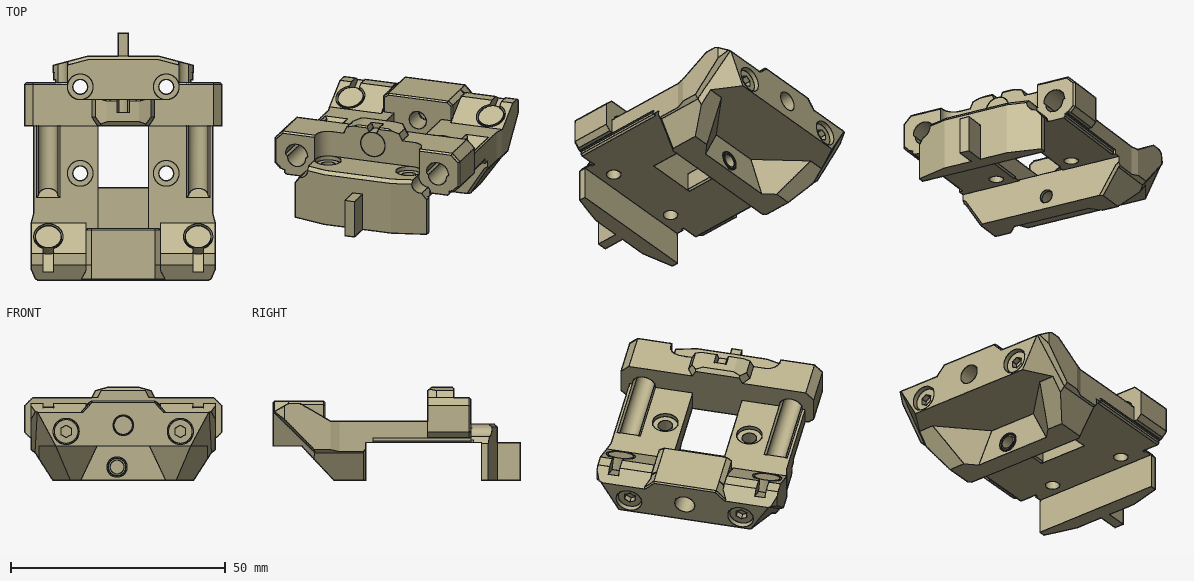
import cadquery as cq
import math

magnet_dia = 6.0
magnet_thickness = 3.0
magnet_pocket_dia = 6.1
pocket_mouth_dia = 6.85
head_dia = 5.5
head_height = 3.0
head_bore_dia = 6.1
head_recess = 1.0
shank_dia = 3.0
shank_length = 5.75
socket_width = 2.9
socket_depth = 1.5
screw_x = 13.3
screw_z = 11.4
insert_dia = 4.7
insert_collar_dia = 4.0
insert_bore_dia = 3.2
insert_length = 4.0
insert_collar_length = 0.5
insert_teeth = 16
insert_tooth_gap = 0.45
insert_x = -1.45
insert_z = 3.1

deck_half_width = 20.9
deck_top = 13.8
deck_bottom = 8.8
window_half_width = 5.85
window_front = 21.55
window_foot_edge = 0.4
shelf_top = 9.0
mount_x = 10.0
mount_front_y = 24.9
mount_rear_y = 45.0
mount_hole_dia = 3.4
mount_head_dia = 6.0
mount_head_depth = 1.0

notch_front = 23.25
notch_rear = 46.0
notch_depth = 0.45
notch_foot_depth = 0.85
notch_lip = 9.2
notch_top = 9.85

front_half_width = 21.45
wing_back = 13.35
taper_back = 15.45
wing_inner = 8.6
wing_crest = 17.9
wing_crest_front = 3.55
wing_angle = 30.0
front_face_bottom = 8.0
underside_front = 6.6
leg_toe = 14.15
leg_half_width = 16.4
leg_back_edge = 0.6
leg_flare_x = 20.45
leg_flare_z = 6.4
leg_side_z = 7.15
corner_top_x = 19.9
corner_bottom_x = 15.7
corner_back_x = 19.55
corner_trim = 1.15
corner_trim_run = 2.6
ledge_x = 20.25
ledge_top = 16.9
ledge_inner_top = 16.15
ledge_back = 9.3
ledge_back_z = 7.4
duct_toe_x = 12.3
duct_back_bottom_x = 9.9
duct_back_top_x = 6.1
duct_back = 16.7

badge_half_top = 7.4
badge_top = 18.45
badge_shoulder = 17.6
badge_back = 12.1
badge_foot_x = 9.9
badge_edge = 0.35
front_hole_z = 12.8
front_hole_dia = 4.8
front_hole_inner_dia = 4.25
front_hole_step = 5.75

wing_magnet_x = 17.4
wing_magnet_y = 10.2
pry_slot_width = 2.4

trough_x = 17.5
trough_width = 5.5
trough_edge = 0.5
trough_front = 19.3
trough_end_run = 2.05

bar_half_width = 22.95
bar_front = 35.95
bar_back = 46.0
bar_top = 19.25
bar_bottom = 10.0
bar_top_chamfer = 1.9
bar_bottom_chamfer = 1.2
bar_back_edge = 0.4
recess_floor = 13.15
recess_corner_radius = 2.95

crown_half_base = 7.3
crown_half_shoulder = 6.5
crown_half_top = 3.7
crown_shoulder = 20.9
crown_top = 21.7
crown_front_run = 1.0
crown_back_edge = 0.35
crown_corner_x = 1.3
crown_corner_y = 2.05
rear_magnet_z = 17.4
slot_top_width = 2.95
slot_bottom_width = 1.95

nose_half_width = 16.35
nose_neck_half_width = 15.75
nose_ledge_front = 46.65
nose_wall_front = 48.4
nose_corner_y = 50.0
nose_flat_half_width = 8.35
nose_back = 52.15
nose_ledge_top = 10.2
nose_edge = 0.8
nose_cove_x = 15.2
nose_cove_end = 8.6
nose_cove_bulge = 0.25
tab_half_width = 1.2
tab_back = 57.5

slope = math.tan(math.radians(wing_angle))
wing_crest_back = wing_back - (wing_crest - deck_top) / slope
front_face_top = wing_crest - wing_crest_front * slope
wing_magnet_z = deck_top + (wing_back - wing_magnet_y) * slope
recess_front = mount_rear_y - mount_head_dia / 2
recess_half_width = mount_x + mount_head_dia / 2


def box(x0, x1, y0, y1, z0, z1):
    return cq.Workplane("XY").box(x1 - x0, y1 - y0, z1 - z0, centered=False).translate((x0, y0, z0))


def along_x(points, x0, x1):
    """Extrude a (y, z) outline from x0 to x1."""
    return cq.Workplane("YZ").polyline(points).close().extrude(x1 - x0).translate((x0, 0, 0))


def along_y(points, y0, y1):
    """Extrude an (x, z) outline from y0 to y1."""
    return cq.Workplane("XZ").polyline(points).close().extrude(y0 - y1).translate((0, y0, 0))


def along_z(points, z0, z1):
    """Extrude an (x, y) outline from z0 to z1."""
    return cq.Workplane("XY").polyline(points).close().extrude(z1 - z0).translate((0, 0, z0))


def mirrored(half):
    """Close a half outline, listed on the +X side, with its mirror image."""
    return half + [(-x, v) for x, v in reversed(half)]


def rod(dia, x, z, y0, y1):
    """Round bar along Y."""
    return cq.Workplane("XZ").center(x, z).circle(dia / 2).extrude(y0 - y1).translate((0, y0, 0))


def both_sides(half):
    return half.union(half.mirror("YZ"))


def half_space(points, outward):
    """Large block on the outward side of the plane through three points."""
    first, second, third = [cq.Vector(*point) for point in points]
    normal = (second - first).cross(third - first)
    if normal.dot(cq.Vector(*outward)) < 0:
        normal = normal * -1
    reach = 2 * nose_back
    return cq.Workplane(cq.Plane(first, second - first, normal)).rect(reach, reach).extrude(reach)


def wing_plane(side):
    """Plane on the rear slope of a wing, centred on its magnet."""
    angle = math.radians(wing_angle)
    return cq.Plane(
        origin=(side * wing_magnet_x, wing_magnet_y, wing_magnet_z),
        xDir=(1, 0, 0),
        normal=(0, math.sin(angle), math.cos(angle)),
    )


def make_front_block():
    """Legs, front face and the two wings."""
    profile = [
        (0, front_face_bottom),
        (underside_front, front_face_bottom),
        (leg_toe, 0),
        (window_front, 0),
        (window_front, deck_top),
        (0, deck_top),
    ]
    block = along_x(profile, -front_half_width, front_half_width)
    wing_profile = [
        (0, front_face_bottom),
        (underside_front, front_face_bottom),
        (wing_back, deck_top),
        (wing_crest_back, wing_crest),
        (wing_crest_front, wing_crest),
        (0, front_face_top),
    ]
    block = block.union(both_sides(along_x(wing_profile, wing_inner, front_half_width)))
    section = mirrored([
        (leg_half_width, 0),
        (leg_flare_x, leg_flare_z),
        (front_half_width, leg_side_z),
        (front_half_width, wing_crest),
    ])
    envelope = along_y(section, 0, window_front)
    envelope = envelope.faces(">Y").edges("not (|X or |Z)").chamfer(leg_back_edge)
    block = block.intersect(envelope)
    plan = mirrored([
        (front_half_width - corner_trim, 0),
        (front_half_width, corner_trim_run),
        (front_half_width, wing_back),
        (deck_half_width, taper_back),
        (deck_half_width, window_front),
    ])
    block = block.intersect(along_z(plan, 0, wing_crest))
    for side in (-1, 1):
        block = block.cut(make_corner_cut(side))
    return block.cut(make_duct())


def make_corner_cut(side):
    """Slanted bevel of a front corner, ending under a narrow ledge along the side."""
    bevel = half_space(
        [
            (side * corner_bottom_x, 0, front_face_bottom),
            (side * corner_top_x, 0, front_face_top),
            (side * corner_back_x, underside_front, front_face_bottom),
        ],
        (side, 0, 0),
    )
    below_ledge = half_space(
        [
            (side * front_half_width, 0, ledge_top),
            (side * front_half_width, ledge_back, ledge_back_z),
            (side * ledge_x, 0, ledge_inner_top),
        ],
        (0, 0, -1),
    )
    return bevel.intersect(below_ledge)


def make_duct():
    """Tapered recess between the legs."""
    low = [
        (duct_toe_x, leg_toe),
        (duct_back_bottom_x, duct_back),
        (-duct_back_bottom_x, duct_back),
        (-duct_toe_x, leg_toe),
    ]
    high = [
        (corner_bottom_x, underside_front),
        (duct_back_top_x, duct_back),
        (-duct_back_top_x, duct_back),
        (-corner_bottom_x, underside_front),
    ]
    outline = cq.Workplane("XY").polyline(low).close()
    return outline.workplane(offset=front_face_bottom).polyline(high).close().loft(ruled=True)


def make_badge():
    """Raised block between the wings, flared at its front."""
    flare = mirrored([(badge_foot_x, front_face_top), (badge_half_top, badge_top)])
    front = along_y(flare, 0, wing_crest_front).faces("<Y").edges("not <Z").chamfer(badge_edge)
    body = mirrored([
        (wing_inner, deck_bottom),
        (wing_inner, badge_shoulder),
        (badge_half_top, badge_top),
    ])
    rear = along_y(body, wing_crest_front, badge_back).faces(">Y").edges("not <Z").chamfer(badge_edge)
    core = box(-wing_inner, wing_inner, 0, wing_crest_front, front_face_bottom, front_face_top)
    return front.union(rear).union(core)


def make_deck():
    """Plate with a shallow notch along the foot of each side."""
    deck = box(-deck_half_width, deck_half_width, taper_back, bar_back, deck_bottom, deck_top)
    notch = [
        (deck_half_width, deck_bottom),
        (deck_half_width - notch_foot_depth, deck_bottom),
        (deck_half_width - notch_depth, notch_lip),
        (deck_half_width - notch_depth, notch_top),
        (deck_half_width, notch_top),
    ]
    return deck.cut(both_sides(along_y(notch, notch_front, notch_rear)))


def make_crossbar():
    section = mirrored([
        (bar_half_width - bar_bottom_chamfer, bar_bottom),
        (bar_half_width, bar_bottom + bar_bottom_chamfer),
        (bar_half_width, bar_top - bar_top_chamfer),
        (bar_half_width - bar_top_chamfer, bar_top),
    ])
    bar = along_y(section, bar_front, bar_back).faces(">Y").edges("not <Z").chamfer(bar_back_edge)
    return bar.union(make_crown())


def make_crown():
    """Faceted hump with leaning sides, clipped front corners and bevelled ends."""
    section = mirrored([
        (crown_half_base, bar_top),
        (crown_half_shoulder, crown_shoulder),
        (crown_half_top, crown_top),
    ])
    crown = along_y(section, bar_front, recess_front)
    side = [
        (bar_front, bar_top),
        (bar_front, crown_shoulder),
        (bar_front + crown_front_run, crown_top),
        (recess_front - crown_back_edge, crown_top),
        (recess_front, crown_top - crown_back_edge),
        (recess_front, bar_top),
    ]
    crown = crown.intersect(along_x(side, -crown_half_base, crown_half_base))
    lean = (crown_half_base - crown_half_shoulder) / (crown_shoulder - bar_top)
    rise = crown_top - bar_top
    corners = cq.Workplane("XY", origin=(0, 0, bar_top))
    corners = corners.polyline(crown_plan(crown_half_base)).close().workplane(offset=rise)
    corners = corners.polyline(crown_plan(crown_half_base - lean * rise)).close().loft(ruled=True)
    return crown.intersect(corners)


def crown_plan(half_width):
    """Outline of the crown at one height, with its front corners clipped."""
    return mirrored([
        (half_width - crown_corner_x, bar_front),
        (half_width, bar_front + crown_corner_y),
        (half_width, recess_front),
    ])


def make_nose():
    """Rear wall with clipped corners, coved sides and a bevelled top edge, plus its tab."""
    plan = mirrored([
        (nose_half_width, nose_ledge_front),
        (nose_half_width, nose_corner_y),
        (nose_flat_half_width, nose_back),
    ])
    wall = along_z(plan, 0, recess_floor).faces(">Z").edges(">Y or (not (|X or |Y))").chamfer(nose_edge)
    wall = wall.cut(box(-nose_half_width, nose_half_width, bar_front, nose_wall_front, 0, deck_bottom))
    neck = box(
        -nose_neck_half_width, nose_neck_half_width,
        bar_back, nose_ledge_front,
        deck_bottom, recess_floor,
    )
    cove_middle = (
        recess_half_width + nose_cove_bulge * (nose_cove_x - recess_half_width),
        nose_ledge_top + nose_cove_bulge * (recess_floor - nose_ledge_top),
    )
    cove = (
        cq.Workplane("XZ")
        .moveTo(recess_half_width, recess_floor)
        .threePointArc(cove_middle, (nose_cove_x, nose_ledge_top))
        .lineTo(nose_half_width, nose_cove_end)
        .lineTo(nose_half_width, recess_floor)
        .close()
        .extrude(bar_back - nose_back)
        .translate((0, bar_back, 0))
    )
    tab = box(-tab_half_width, tab_half_width, nose_wall_front, tab_back, 0, deck_bottom)
    return wall.union(neck).cut(both_sides(cove)).union(tab)


def make_window():
    """Opening through the deck with bevelled lower edges, and the low shelf in front of it."""
    opening = box(-window_half_width, window_half_width, window_front, bar_front, 0, deck_top)
    shelf = box(
        -window_half_width, window_half_width, badge_back, window_front, shelf_top, deck_top
    )
    foot = mirrored([
        (window_half_width + window_foot_edge, deck_bottom),
        (window_half_width, deck_bottom + window_foot_edge),
    ])
    return opening.union(shelf).union(along_y(foot, notch_front, bar_front))


def make_rear_recess():
    """Pocket through the back of the crossbar, with corners round the mounting holes."""
    pocket = box(
        -recess_half_width, recess_half_width, recess_front, nose_back, recess_floor, crown_top
    )
    return pocket.edges("|Z and <Y").fillet(recess_corner_radius)


def make_mount_holes():
    """Four counterbored holes through the deck."""
    cuts = cq.Workplane("XY")
    for y, seat in ((mount_front_y, deck_top), (mount_rear_y, recess_floor)):
        for side in (-1, 1):
            spot = cq.Workplane("XY").center(side * mount_x, y)
            cuts = cuts.union(spot.circle(mount_hole_dia / 2).extrude(deck_top))
            head = spot.workplane(offset=seat - mount_head_depth).circle(mount_head_dia / 2)
            cuts = cuts.union(head.extrude(mount_head_depth))
    return cuts


def make_trough(side):
    """Round-bottomed trough with a sloping front end, running on through the crossbar."""
    radius = trough_width / 2 - trough_edge
    axis_z = deck_top - trough_edge
    trough = rod(2 * radius, side * trough_x, axis_z, trough_front, bar_back)
    mouth = [
        (side * trough_x - trough_width / 2, deck_top),
        (side * trough_x - radius, axis_z),
        (side * trough_x + radius, axis_z),
        (side * trough_x + trough_width / 2, deck_top),
    ]
    trough = trough.union(along_y(mouth, trough_front, bar_back))
    bar_hole = rod(trough_width, side * trough_x, deck_top, bar_front, bar_back)
    above_deck = box(-bar_half_width, bar_half_width, bar_front, bar_back, deck_top, crown_top)
    bar_hole = bar_hole.intersect(above_deck)
    ramp = [
        (trough_front, deck_top),
        (trough_front + trough_end_run, axis_z - radius),
        (trough_front, axis_z - radius),
    ]
    return trough.cut(along_x(ramp, -deck_half_width, deck_half_width)).union(bar_hole)


def make_wing_pocket(side):
    """Magnet pocket in a wing with a flared mouth and a pry slot out of the front."""
    mouth_depth = (pocket_mouth_dia - magnet_pocket_dia) / 2
    plane = wing_plane(side)
    pocket = cq.Workplane(plane).circle(magnet_pocket_dia / 2).extrude(-magnet_thickness)
    mouth = (
        cq.Workplane(plane).circle(pocket_mouth_dia / 2)
        .workplane(offset=-mouth_depth).circle(magnet_pocket_dia / 2).loft()
    )
    slot = (
        cq.Workplane(plane).center(0, -wing_back / 2).rect(pry_slot_width, wing_back)
        .extrude(2 * magnet_thickness, both=True)
    )
    above_floor = cq.Workplane(plane).workplane(offset=-magnet_thickness).rect(bar_top, 2 * bar_top)
    return pocket.union(mouth).union(slot.intersect(above_floor.extrude(bar_top)))


def make_screw_bore(side):
    """Counterbored hole that a front screw fills."""
    seat = head_recess + head_height
    head_bore = rod(head_bore_dia, side * screw_x, screw_z, 0, seat)
    return head_bore.union(rod(shank_dia, side * screw_x, screw_z, seat, seat + shank_length))


def make_rear_magnet_pocket():
    """Blind bore in the recess wall, open at the top through a narrow slot in the crown."""
    front = recess_front - magnet_thickness
    bore = rod(magnet_pocket_dia, 0, rear_magnet_z, front, recess_front)
    slot = mirrored([
        (slot_bottom_width / 2, rear_magnet_z),
        (slot_bottom_width / 2, rear_magnet_z + magnet_dia / 2),
        (slot_top_width / 2, crown_top),
    ])
    return bore.union(along_y(slot, front, recess_front))


def make_insert_bore():
    bore = rod(insert_dia, insert_x, insert_z, duct_back, duct_back + insert_length)
    return bore.union(rod(insert_bore_dia, insert_x, insert_z, duct_back, window_front))


def make_front_hole():
    """Stepped hole from the front face through the badge block."""
    hole = rod(front_hole_dia, 0, front_hole_z, 0, front_hole_step)
    return hole.union(rod(front_hole_inner_dia, 0, front_hole_z, front_hole_step, badge_back))


def make_frame():
    frame = make_deck().union(make_crossbar()).cut(make_rear_recess())
    frame = frame.union(make_nose()).union(make_front_block()).union(make_badge())
    frame = frame.cut(make_window()).cut(make_mount_holes())
    for side in (-1, 1):
        frame = frame.cut(make_trough(side))
        frame = frame.cut(make_wing_pocket(side))
        frame = frame.cut(make_screw_bore(side))
    return frame.cut(make_rear_magnet_pocket()).cut(make_insert_bore()).cut(make_front_hole())


def make_wing_magnet(side):
    return cq.Workplane(wing_plane(side)).circle(magnet_dia / 2).extrude(-magnet_thickness)


def make_rear_magnet():
    return rod(magnet_dia, 0, rear_magnet_z, recess_front - magnet_thickness, recess_front)


def make_screw(side):
    """Socket-head screw pointing to +Y."""
    seat = head_recess + head_height
    screw = rod(head_dia, side * screw_x, screw_z, head_recess, seat)
    screw = screw.union(rod(shank_dia, side * screw_x, screw_z, seat, seat + shank_length))
    corners = [math.radians(30 + 60 * i) for i in range(6)]
    radius = socket_width / 2
    hexagon = [
        (side * screw_x + radius * math.cos(a), screw_z + radius * math.sin(a)) for a in corners
    ]
    return screw.cut(along_y(hexagon, head_recess, head_recess + socket_depth))


def make_insert():
    """Knurled threaded insert with a smooth collar at its front."""
    knurl_start = duct_back + insert_collar_length
    back = duct_back + insert_length
    insert = rod(insert_dia, insert_x, insert_z, knurl_start, back)
    for i in range(insert_teeth):
        angle = 2 * math.pi * i / insert_teeth
        x = insert_x + insert_dia / 2 * math.cos(angle)
        z = insert_z + insert_dia / 2 * math.sin(angle)
        insert = insert.cut(rod(insert_tooth_gap, x, z, knurl_start, back))
    insert = insert.union(rod(insert_collar_dia, insert_x, insert_z, duct_back, knurl_start))
    return insert.cut(rod(insert_bore_dia, insert_x, insert_z, duct_back, back))


frame = make_frame()
wing_magnets = [make_wing_magnet(side) for side in (-1, 1)]
rear_magnet = make_rear_magnet()
screws = [make_screw(side) for side in (-1, 1)]
insert = make_insert()

result = cq.Compound.makeCompound([
    frame.val(),
    *[magnet.val() for magnet in wing_magnets],
    rear_magnet.val(),
    *[screw.val() for screw in screws],
    insert.val(),
])